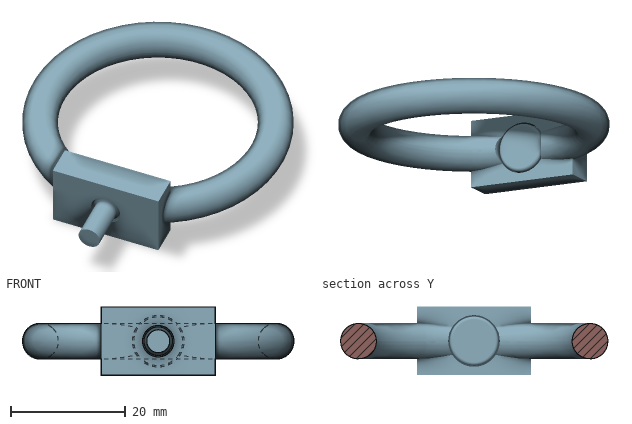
import cadquery as cq

ring_outer_diameter = 47.45
ring_wire_diameter = 6.25
ring_outer_radius = ring_outer_diameter / 2
ring_centreline_radius = ring_outer_radius - ring_wire_diameter / 2

block_width = 20.0
block_depth = 5.5
block_height = 12.0
block_outer_y = -ring_outer_radius
block_inner_y = block_outer_y + block_depth

pin_diameter = 4.0
shoulder_diameter = 5.0
head_diameter = 8.5
head_protrusion = 0.5
head_edge_radius = 0.5
shoulder_recess = 0.1
overall_length = 54.95
head_seat_depth = block_depth / 2
shoulder_taper = (shoulder_diameter - pin_diameter) / 2
pin_tip_y = ring_outer_radius - overall_length
shoulder_end_y = block_outer_y + shoulder_recess
head_top_y = block_inner_y + head_protrusion
head_seat_y = block_inner_y - head_seat_depth

bore_diameter = 5.5
head_clearance_diameter = 9.0


def cylinder_along_y(diameter, start_y, end_y):
    """Cylinder on the Y axis from start_y to a larger end_y."""
    return (
        cq.Workplane("XZ", origin=(0, start_y, 0))
        .circle(diameter / 2)
        .extrude(start_y - end_y)
    )


def make_ring_holder():
    """Ring and block in one piece, bored for the pin and counterbored for its head."""
    ring = (
        cq.Workplane("YZ", origin=(0, -ring_centreline_radius, 0))
        .circle(ring_wire_diameter / 2)
        .revolve(360, (ring_centreline_radius, 0), (ring_centreline_radius, 1))
    )
    block = cq.Workplane("XY").box(block_width, block_depth, block_height).translate(
        (0, block_outer_y + block_depth / 2, 0)
    )
    bore = cylinder_along_y(bore_diameter, block_outer_y, head_seat_y)
    head_counterbore = cylinder_along_y(head_clearance_diameter, head_seat_y, 0)
    return ring.union(block).cut(bore).cut(head_counterbore)


def make_pin():
    """Pin with a tapered shoulder inside the bore and a round-edged head."""
    stem = cylinder_along_y(pin_diameter, pin_tip_y, shoulder_end_y)
    shoulder = cylinder_along_y(shoulder_diameter, shoulder_end_y, head_seat_y)
    shoulder = shoulder.faces("<Y").edges().chamfer(shoulder_taper)
    head = cylinder_along_y(head_diameter, head_seat_y, head_top_y)
    head = head.faces(">Y").edges().fillet(head_edge_radius)
    return head.union(shoulder).union(stem)


ring_holder = make_ring_holder()
pin = make_pin()
result = cq.Compound.makeCompound([ring_holder.val(), pin.val()])